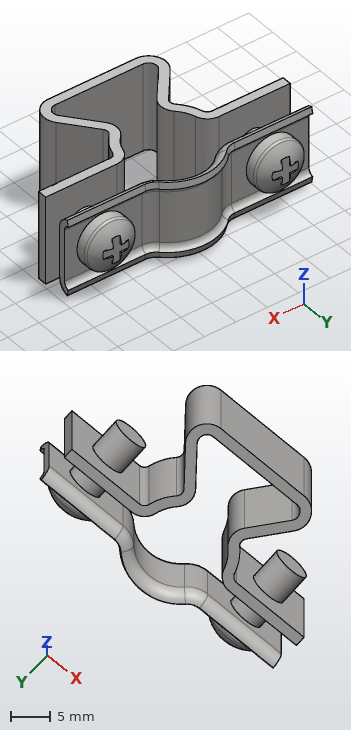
import cadquery as cq
import math


length = 39.0
tube_radius = 6.0
tube_y = 15.87

bracket_width = 14.0
bracket_sheet = 1.5
flange_top_y = 16.0
foot_bend_x = 7.0
foot_bend_radius = 2.73
bend_radius = 2.5
neck_angle = 225.0

strap_sheet = 1.0
strap_height = 12.13
strap_front_y = 18.9
strap_bend_radius = 4.0
lip_radius = 2.03
lip_angle = 78.0

screw_x = 13.5
shank_diameter = 5.0
shank_end_y = 10.0
head_diameter = 8.0
head_rim_height = 1.7
head_height = 3.3
head_fillet = 0.5
slot_width = 1.3
slot_depth = 0.4


def polar(center, radius, degrees):
    """Point at a distance and direction from a centre."""
    angle = math.radians(degrees)
    return (center[0] + radius * math.cos(angle), center[1] + radius * math.sin(angle))


def direction(start, end):
    """Direction from one point to another, in degrees."""
    return math.degrees(math.atan2(end[1] - start[1], end[0] - start[0]))


def bracket_bends():
    """Bends of the left half, flange to foot.

    Each is (centre, mid-sheet radius, start angle, end angle, side), where side is
    +1 if the sheet face toward the tube lies outside the bend and -1 if inside.
    """
    half_sheet = bracket_sheet / 2
    tube = (0.0, tube_y)
    center_distance = tube_radius + bend_radius

    flange_y = flange_top_y - bend_radius
    flange_x = -math.sqrt(center_distance**2 - (tube_y - flange_y) ** 2)
    flange_center = (flange_x, flange_y)
    neck_center = polar(tube, center_distance, neck_angle)
    foot_center = (-foot_bend_x, foot_bend_radius)

    mid_radius = bend_radius - half_sheet
    foot_mid_radius = foot_bend_radius - half_sheet

    leg_span = math.dist(neck_center, foot_center)
    leg_turn = math.degrees(math.acos((mid_radius + foot_mid_radius) / leg_span))
    neck_end = direction(neck_center, foot_center) + leg_turn
    foot_start = neck_end + 180

    flange_end = direction(flange_center, tube)
    tube_start = direction(tube, flange_center) % 360
    return [
        (flange_center, mid_radius, 90.0, flange_end, 1),
        (tube, tube_radius + half_sheet, tube_start, neck_angle, -1),
        (neck_center, mid_radius, neck_angle - 180, neck_end, 1),
        (foot_center, foot_mid_radius, foot_start, 270.0, -1),
    ]


def bend_points(bend, face):
    """Start, middle and end of a bend on one sheet face: +1 toward the tube, -1 away."""
    center, mid_radius, start, end, side = bend
    radius = mid_radius + face * side * bracket_sheet / 2
    return [polar(center, radius, angle) for angle in (start, (start + end) / 2, end)]


def make_bracket():
    profile = cq.Workplane("XY", origin=(0, 0, -bracket_width / 2))

    flange, tube, neck, foot = [bend_points(bend, 1) for bend in bracket_bends()]
    profile = (
        profile.moveTo(-length / 2, flange_top_y)
        .lineTo(*flange[0])
        .threePointArc(flange[1], flange[2])
        .threePointArc(tube[1], tube[2])
        .threePointArc(neck[1], neck[2])
        .lineTo(*foot[0])
        .threePointArc(foot[1], foot[2])
        .lineTo(0, bracket_sheet)
    )

    flange, tube, neck, foot = [bend_points(bend, -1) for bend in bracket_bends()]
    profile = (
        profile.lineTo(0, 0)
        .lineTo(*foot[2])
        .threePointArc(foot[1], foot[0])
        .lineTo(*neck[2])
        .threePointArc(neck[1], neck[0])
        .threePointArc(tube[1], tube[0])
        .threePointArc(flange[1], flange[0])
        .lineTo(-length / 2, flange_top_y - bracket_sheet)
        .close()
    )

    half = profile.extrude(bracket_width)
    return half.union(half.mirror("YZ")).clean().cut(shank_holes())


def strap_path():
    """Front face of the strap: flat, bend, arch around the tube, bend, flat."""
    tube = (0.0, tube_y)
    bend_y = strap_front_y + strap_bend_radius
    center_distance = tube_radius + strap_bend_radius
    bend_x = math.sqrt(center_distance**2 - (bend_y - tube_y) ** 2)
    left_bend = (-bend_x, bend_y)
    right_bend = (bend_x, bend_y)
    left_end = direction(left_bend, tube)
    right_end = direction(right_bend, tube)
    left_middle = (left_end - 90) / 2
    right_middle = (right_end - 90) / 2
    return (
        cq.Workplane("XY")
        .moveTo(-length / 2, strap_front_y)
        .lineTo(-bend_x, strap_front_y)
        .threePointArc(
            polar(left_bend, strap_bend_radius, left_middle),
            polar(left_bend, strap_bend_radius, left_end),
        )
        .threePointArc(
            polar(tube, tube_radius, 90),
            polar(right_bend, strap_bend_radius, right_end),
        )
        .threePointArc(
            polar(right_bend, strap_bend_radius, right_middle),
            (bend_x, strap_front_y),
        )
        .lineTo(length / 2, strap_front_y)
    )


def strap_section():
    """Cross-section: a flat web whose two edges roll back into lips."""
    inner_radius = lip_radius - strap_sheet
    lip_y = strap_front_y + lip_radius
    lip_z = strap_height / 2 - lip_radius * math.sin(math.radians(lip_angle))
    upper = (lip_y, lip_z)
    lower = (lip_y, -lip_z)
    web_back_y = strap_front_y + strap_sheet
    upper_end = 180 - lip_angle
    upper_middle = 180 - lip_angle / 2
    lower_end = 180 + lip_angle
    lower_middle = 180 + lip_angle / 2
    return (
        cq.Workplane("YZ", origin=(-length / 2, 0, 0))
        .moveTo(strap_front_y, -lip_z)
        .lineTo(strap_front_y, lip_z)
        .threePointArc(polar(upper, lip_radius, upper_middle), polar(upper, lip_radius, upper_end))
        .lineTo(*polar(upper, inner_radius, upper_end))
        .threePointArc(polar(upper, inner_radius, upper_middle), (web_back_y, lip_z))
        .lineTo(web_back_y, -lip_z)
        .threePointArc(polar(lower, inner_radius, lower_middle), polar(lower, inner_radius, lower_end))
        .lineTo(*polar(lower, lip_radius, lower_end))
        .threePointArc(polar(lower, lip_radius, lower_middle), (strap_front_y, -lip_z))
        .close()
    )


def make_strap():
    return strap_section().sweep(strap_path()).cut(shank_holes())


def make_shank(x):
    """Screw shank from its free end up to the underside of the head."""
    shank_length = strap_front_y + strap_sheet - shank_end_y
    base = cq.Workplane("XZ", origin=(x, shank_end_y, 0))
    return base.circle(shank_diameter / 2).extrude(-shank_length)


def shank_holes():
    """Both shanks together, as the cutter for close-fitting holes."""
    return make_shank(-screw_x).union(make_shank(screw_x))


def make_head(x):
    """Domed pan head with a cross slot, seated on the back of the strap web."""
    seat_y = strap_front_y + strap_sheet
    top_y = seat_y + head_height
    rim_y = seat_y + head_rim_height
    head_radius = head_diameter / 2
    dome_rise = head_height - head_rim_height
    dome_radius = (head_radius**2 + dome_rise**2) / (2 * dome_rise)
    dome_center = (0.0, top_y - dome_radius)
    dome_middle = (90 + direction(dome_center, (head_radius, rim_y))) / 2
    head = (
        cq.Workplane("XY", origin=(x, 0, 0))
        .moveTo(0, seat_y)
        .lineTo(head_radius, seat_y)
        .lineTo(head_radius, rim_y)
        .threePointArc(polar(dome_center, dome_radius, dome_middle), (0, top_y))
        .close()
        .revolve(360, (0, 0, 0), (0, 1, 0))
    )
    head = head.edges(cq.NearestToPointSelector((x, rim_y, 0))).fillet(head_fillet)

    slot_floor = cq.Workplane("XZ", origin=(x, top_y - slot_depth, 0))
    slot_along_x = slot_floor.rect(head_diameter, slot_width).extrude(-head_height)
    slot_along_z = slot_floor.rect(slot_width, head_diameter).extrude(-head_height)
    return head.cut(slot_along_x).cut(slot_along_z)


def make_screw(x):
    return make_shank(x).union(make_head(x))


bracket = make_bracket()
strap = make_strap()
screws = []
for side_x in (-screw_x, screw_x):
    screws.append(make_screw(side_x).val())

result = cq.Compound.makeCompound([bracket.val(), strap.val(), *screws])